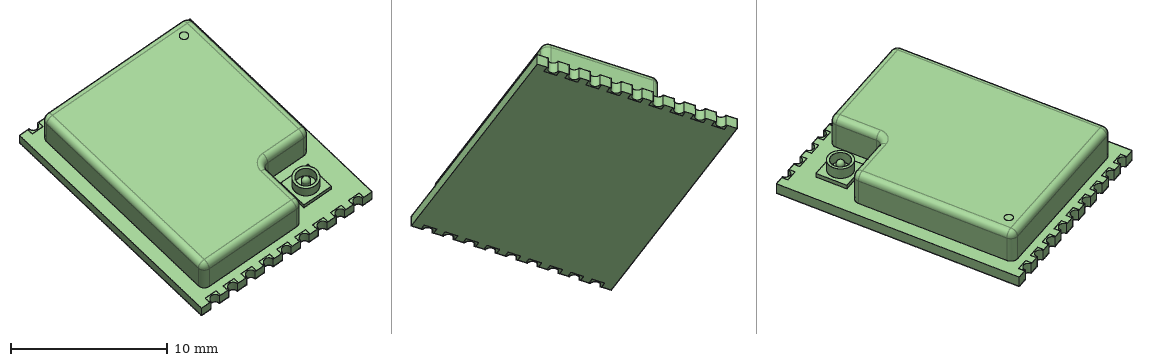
import cadquery as cq

BOARD_X = 18.0
BOARD_Y = 14.3
BOARD_Z = 0.8

CONTACT_COUNT = 9
CONTACT_PITCH = 1.5
CONTACT_RADIUS = 0.35
PAD_WIDTH = 0.9
PAD_DEPTH = PAD_WIDTH / 2
FOIL_THICKNESS = 0.01

COVER_X = 16.0
COVER_Y = 12.3
COVER_Z = 2.4
COVER_ROUNDING = 0.5
STEP_X = 4.0
STEP_Y = 2.15

DOT_DIAMETER = 0.6
DOT_ENGRAVING = 0.01
DOT_X = -6.88
DOT_Y = 4.85

CONNECTOR_X = 6.0
CONNECTOR_Y = 4.15
BASE_SIDE = 2.3
BASE_HEIGHT = 0.3
RING_OUTER_DIAMETER = 1.8
RING_INNER_DIAMETER = 1.4
RING_TOP = 1.1
PIN_DIAMETER = 0.6
PIN_TOP = 1.05


def make_board():
    """Plain board with the contact pads and the half-round edge contacts."""
    board = cq.Workplane("XY").box(BOARD_X, BOARD_Y, BOARD_Z, centered=(True, True, False))

    contact_span = (CONTACT_COUNT - 1) * CONTACT_PITCH
    contact_points = []
    pad_points = []
    for side in (-1, 1):
        for index in range(CONTACT_COUNT):
            y = index * CONTACT_PITCH - contact_span / 2
            contact_points.append((side * BOARD_X / 2, y))
            pad_points.append((side * (BOARD_X - PAD_DEPTH) / 2, y))

    foil = cq.Workplane("XY").workplane(offset=-FOIL_THICKNESS)
    foil_to_foil = BOARD_Z + 2 * FOIL_THICKNESS
    pads = foil.pushPoints(pad_points).rect(PAD_DEPTH, PAD_WIDTH).extrude(foil_to_foil)
    contacts = foil.pushPoints(contact_points).circle(CONTACT_RADIUS).extrude(foil_to_foil)
    return board.union(pads).cut(contacts)


def make_cover():
    """L-shaped cover with rounded upright and top edges, and the pin-1 dot."""
    right = COVER_X / 2
    back = COVER_Y / 2
    outline = [
        (-right, -back),
        (right, -back),
        (right, STEP_Y),
        (STEP_X, STEP_Y),
        (STEP_X, back),
        (-right, back),
    ]
    cover = (
        cq.Workplane("XY")
        .workplane(offset=BOARD_Z)
        .polyline(outline)
        .close()
        .extrude(COVER_Z)
        .edges("|Z")
        .fillet(COVER_ROUNDING)
        .faces(">Z")
        .edges()
        .fillet(COVER_ROUNDING)
    )
    dot = (
        cq.Workplane("XY")
        .workplane(offset=BOARD_Z + COVER_Z)
        .center(DOT_X, DOT_Y)
        .circle(DOT_DIAMETER / 2)
        .extrude(-DOT_ENGRAVING)
    )
    return cover.cut(dot)


def make_connector():
    """Square base carrying an open ring and a round-topped centre pin."""
    plane = cq.Workplane("XY").workplane(offset=BOARD_Z).center(CONNECTOR_X, CONNECTOR_Y)
    base = plane.rect(BASE_SIDE, BASE_SIDE).extrude(BASE_HEIGHT)
    ring = (
        plane.workplane(offset=BASE_HEIGHT)
        .circle(RING_OUTER_DIAMETER / 2)
        .circle(RING_INNER_DIAMETER / 2)
        .extrude(RING_TOP - BASE_HEIGHT)
    )
    pin_radius = PIN_DIAMETER / 2
    dome_centre = PIN_TOP - pin_radius
    pin = plane.workplane(offset=BASE_HEIGHT).circle(pin_radius).extrude(dome_centre - BASE_HEIGHT)
    dome = plane.workplane(offset=dome_centre).sphere(pin_radius)
    return base.union(ring).union(pin).union(dome)


result = make_board().union(make_cover()).union(make_connector())